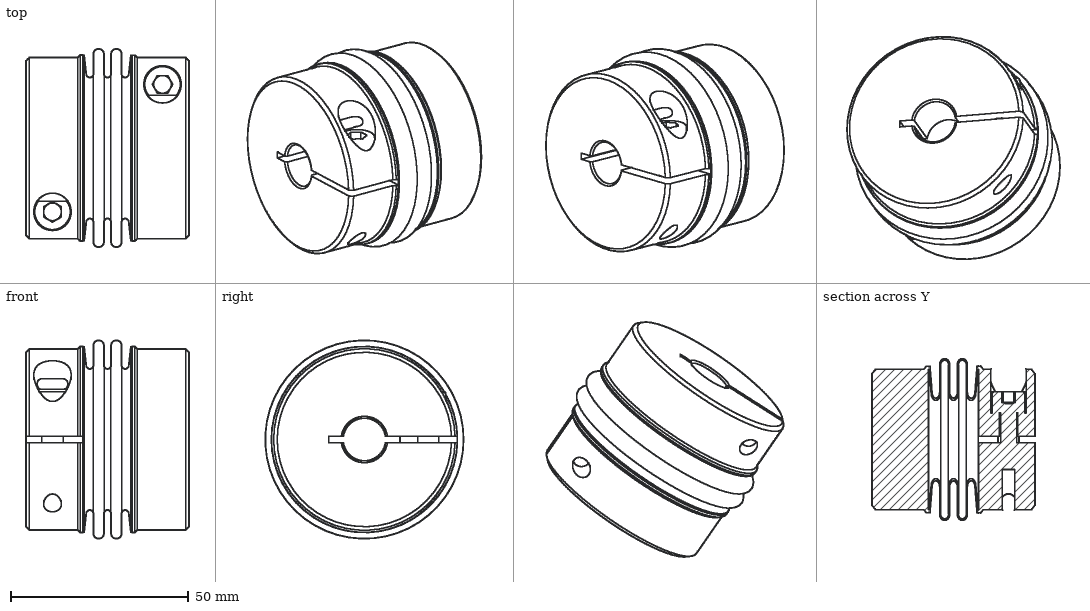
import cadquery as cq
import math

length = 46.0
bellows_diameter = 56.0

hub_diameter = 51.2
hub_length = 16.0
hub_chamfer = 1.0
collar_diameter = 52.5
collar_length = 1.4
bore_diameter = 12.0
bore_chamfer = 0.55
slit_width = 1.8
slit_end = 10.0

screw_from_face = 7.5
screw_from_axis = 18.0
screw_diameter = 6.0
screw_length = 16.0
clearance_diameter = 6.4
tapped_diameter = 5.0
head_diameter = 10.0
head_height = screw_diameter
head_fillet = 0.6
head_seat_z = 7.5
counterbore_diameter = 10.5
socket_across_flats = 5.0
socket_depth = 3.0
socket_cone_angle = 118.0

pin_diameter = 3.0
pin_from_axis = 13.45
pin_z = 15.6
pin_length = counterbore_diameter

sheet = 0.45
pitch = 5.0
fold_centers = (-pitch / 2, pitch / 2)
tip_radius = 1.5
root_radius = pitch / 2 - tip_radius
root_diameter = 39.85
rim_diameter = 52.4
seat_width = 0.55

face_x = -length / 2
hub_end_x = face_x + hub_length
screw_x = face_x + screw_from_face
tip_height = bellows_diameter / 2 - tip_radius
root_height = root_diameter / 2 + root_radius


def revolve_about_x(outline):
    return outline.close().revolve(360, (0, 0, 0), (1, 0, 0))


def cylinder_z(diameter, bottom, top):
    """Cylinder on the screw axis."""
    base = cq.Workplane("XY", origin=(screw_x, -screw_from_axis, bottom))
    return base.circle(diameter / 2).extrude(top - bottom)


def hub_body():
    hub_radius = hub_diameter / 2
    collar_radius = collar_diameter / 2
    bore_radius = bore_diameter / 2
    collar_x = hub_end_x - collar_length
    outline = (
        cq.Workplane("XY")
        .moveTo(face_x, bore_radius + bore_chamfer)
        .lineTo(face_x, hub_radius - hub_chamfer)
        .lineTo(face_x + hub_chamfer, hub_radius)
        .lineTo(collar_x, hub_radius)
        .lineTo(collar_x + collar_radius - hub_radius, collar_radius)
        .lineTo(hub_end_x, collar_radius)
        .lineTo(hub_end_x, bore_radius)
        .lineTo(face_x + bore_chamfer, bore_radius)
    )
    return revolve_about_x(outline)


def slit():
    """Opens on the screw side and ends just past the bore on the other side."""
    outer_y = -collar_diameter
    block = cq.Workplane("XY").box(hub_length, slit_end - outer_y, slit_width, centered=(False, False, True))
    return block.translate((face_x, outer_y, 0))


def screw_holes():
    """Counterbore and clearance hole above the slit, tapped hole below it."""
    counterbore = cylinder_z(counterbore_diameter, head_seat_z, hub_diameter)
    clearance = cylinder_z(clearance_diameter, 0, head_seat_z)
    tapped = cylinder_z(tapped_diameter, -hub_diameter, 0)
    return counterbore.union(clearance).union(tapped)


def socket(socket_turn):
    """Hexagon socket with a drill point; the turn, in degrees, starts with corners along Y."""
    head_top = head_seat_z + head_height
    point_radius = socket_across_flats / 2
    point_depth = point_radius / math.tan(math.radians(socket_cone_angle / 2))
    hexagon = (
        cq.Workplane("XY")
        .polygon(6, socket_across_flats, circumscribed=True)
        .extrude(-socket_depth)
        .rotate((0, 0, 0), (0, 0, 1), socket_turn)
    )
    point = cq.Workplane(cq.Solid.makeCone(0, point_radius, point_depth)).translate(
        (0, 0, -socket_depth - point_depth)
    )
    return hexagon.union(point).translate((screw_x, -screw_from_axis, head_top))


def screw(socket_turn):
    head = cylinder_z(head_diameter, head_seat_z, head_seat_z + head_height)
    head = head.faces(">Z").edges().fillet(head_fillet)
    shank = cylinder_z(screw_diameter, head_seat_z - screw_length, head_seat_z)
    return head.union(shank).cut(socket(socket_turn))


def pin():
    start = (screw_x - pin_length / 2, -pin_from_axis, pin_z)
    return cq.Workplane("YZ", origin=start).circle(pin_diameter / 2).extrude(pin_length)


def clamping_hub(socket_turn):
    body = hub_body().cut(slit()).cut(screw_holes())
    return body.union(screw(socket_turn)).union(pin())


def folded_solid(end_points, tip, root):
    """Solid inside one surface of the sheet, with fold radii tip and root.

    The end points run from the axis to the tapered wall at the left hub, and mirror at the right hub.
    """
    outline = cq.Workplane("XY").polyline(end_points).lineTo(-pitch - root, root_height)
    outline = outline.threePointArc((-pitch, root_height - root), (root - pitch, root_height))
    for x in fold_centers:
        root_x = x + pitch / 2
        outline = (
            outline.lineTo(x - tip, tip_height)
            .threePointArc((x, tip_height + tip), (x + tip, tip_height))
            .lineTo(root_x - root, root_height)
            .threePointArc((root_x, root_height - root), (root_x + root, root_height))
        )
    for x, height in reversed(end_points):
        outline = outline.lineTo(-x, height)
    return revolve_about_x(outline)


def bellows():
    """Folded sheet, seated on each hub by a narrow ring and tapered down to the first root."""
    rim_radius = rim_diameter / 2
    outer_end = [(hub_end_x, 0), (hub_end_x, rim_radius), (hub_end_x + sheet, rim_radius)]
    inner_end = [(hub_end_x, 0), (hub_end_x, rim_radius - seat_width)]
    outer = folded_solid(outer_end, tip_radius, root_radius)
    inner = folded_solid(inner_end, tip_radius - sheet, root_radius + sheet)
    return outer.cut(inner)


left_hub = clamping_hub(socket_turn=0)
right_hub = clamping_hub(socket_turn=30).rotate((0, 0, 0), (0, 0, 1), 180)
result = left_hub.union(bellows()).union(right_hub)